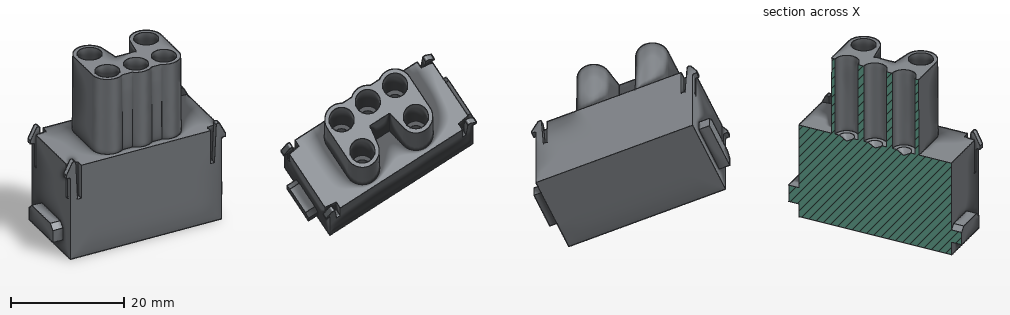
import cadquery as cq
import math

BODY_WIDTH = 14.6
BODY_LENGTH = 30.15
BODY_HEIGHT = 18.7
TOTAL_LENGTH = 34.2
TOTAL_HEIGHT = 34.0

TAB_BOTTOM = 2.55
TAB_TOP = 6.0
TAB_CHAMFER = 1.0
FRONT_TAB_WIDTH = 9.03
BACK_TAB_WIDTH = 7.0

POCKET_FLOOR = 11.97
POCKET_INNER_Y = 12.9
POCKET_X_AT_END = 5.7
POCKET_X_AT_INNER = 6.02
LATCH_WIDTH = 1.0
LATCH_ROOT_INNER_Y = 13.65
LATCH_TIP_INNER_Y = 14.02
LATCH_TIP_OUTER_Y = 14.75
LATCH_SHOULDER = 19.63
LATCH_TOP = 19.87
BARB_Y = 15.87
BARB_BOTTOM = 16.72
BARB_TOP = 17.4
BARB_FILLET = 0.35

CONTACT_X = 3.35
CONTACT_Y = 5.65
MIDDLE_CONTACT_X = 3.52
LOBE_RADIUS = 3.08
TOWER_SIDE_X = 5.88
NOTCH_X = -0.4
NOTCH_HALF_WIDTH = 2.0
TOWER_DRAFT = 0.4
BORE_DIAMETER = 4.4
PIT_DIAMETER = 2.8
PIT_POINT_ANGLE = 118.0

HALF_WIDTH = BODY_WIDTH / 2
HALF_LENGTH = BODY_LENGTH / 2
TOWER_HEIGHT = TOTAL_HEIGHT - BODY_HEIGHT


def make_body():
    return cq.Workplane("XY").box(BODY_WIDTH, BODY_LENGTH, BODY_HEIGHT, centered=(True, True, False))


def make_tab(width, end):
    """Tab with chamfered upper corners; end is -1 for the -Y face and +1 for the +Y face."""
    half = width / 2
    outline = [
        (-half, TAB_BOTTOM),
        (half, TAB_BOTTOM),
        (half, TAB_TOP - TAB_CHAMFER),
        (half - TAB_CHAMFER, TAB_TOP),
        (TAB_CHAMFER - half, TAB_TOP),
        (-half, TAB_TOP - TAB_CHAMFER),
    ]
    return cq.Workplane("XZ").polyline(outline).close().extrude(-end * TOTAL_LENGTH / 2)


def make_pocket():
    """Open pocket at the +X +Y corner, with a slanted wall on the body side."""
    outline = [
        (HALF_WIDTH, POCKET_INNER_Y),
        (HALF_WIDTH, HALF_LENGTH),
        (POCKET_X_AT_END, HALF_LENGTH),
        (POCKET_X_AT_INNER, POCKET_INNER_Y),
    ]
    pocket = cq.Workplane("XY").workplane(offset=POCKET_FLOOR).polyline(outline).close()
    return pocket.extrude(BODY_HEIGHT - POCKET_FLOOR)


def make_latch():
    """Barbed snap finger at the +X +Y corner, standing on the pocket floor."""
    tip_middle_y = (LATCH_TIP_INNER_Y + LATCH_TIP_OUTER_Y) / 2
    profile = (
        cq.Workplane("YZ")
        .workplane(offset=HALF_WIDTH - LATCH_WIDTH)
        .moveTo(LATCH_ROOT_INNER_Y, POCKET_FLOOR)
        .lineTo(HALF_LENGTH, POCKET_FLOOR)
        .lineTo(HALF_LENGTH, BARB_BOTTOM - BARB_FILLET)
        .radiusArc((HALF_LENGTH + BARB_FILLET, BARB_BOTTOM), BARB_FILLET)
        .lineTo(BARB_Y, BARB_BOTTOM)
        .lineTo(BARB_Y, BARB_TOP)
        .lineTo(LATCH_TIP_OUTER_Y, LATCH_SHOULDER)
        .threePointArc((tip_middle_y, LATCH_TOP), (LATCH_TIP_INNER_Y, LATCH_SHOULDER))
        .close()
    )
    return profile.extrude(LATCH_WIDTH)


def four_corners(shape):
    """The +X +Y corner shape together with its three mirror images."""
    pair = shape.union(shape.mirror("YZ"))
    return pair.union(pair.mirror("XZ"))


def circle_point(center, angle):
    return (center[0] + LOBE_RADIUS * math.cos(angle), center[1] + LOBE_RADIUS * math.sin(angle))


def flip(point):
    return (point[0], -point[1])


def make_tower():
    """Drafted tower with rounded lobes around the holes and a notch on the -X side."""
    left = (-CONTACT_X, CONTACT_Y)
    right = (CONTACT_X, CONTACT_Y)
    middle = (MIDDLE_CONTACT_X, 0)
    top_y = CONTACT_Y + LOBE_RADIUS

    notch_corner = (NOTCH_X, NOTCH_HALF_WIDTH)
    dx = notch_corner[0] - left[0]
    dy = notch_corner[1] - left[1]
    flank_angle = math.atan2(dy, dx) - math.acos(LOBE_RADIUS / math.hypot(dx, dy))
    flank_end = circle_point(left, flank_angle)

    right_angle = -math.acos((TOWER_SIDE_X - CONTACT_X) / LOBE_RADIUS)
    right_end = circle_point(right, right_angle)
    middle_angle = math.acos((TOWER_SIDE_X - MIDDLE_CONTACT_X) / LOBE_RADIUS)
    middle_end = circle_point(middle, middle_angle)

    left_outer = circle_point(left, math.pi)
    right_outer = circle_point(right, (math.pi / 2 + right_angle) / 2)

    outline = (
        cq.Workplane("XY")
        .workplane(offset=BODY_HEIGHT)
        .moveTo(*flip(notch_corner))
        .lineTo(*notch_corner)
        .lineTo(*flank_end)
        .threePointArc(left_outer, (-CONTACT_X, top_y))
        .lineTo(CONTACT_X, top_y)
        .threePointArc(right_outer, right_end)
        .lineTo(*middle_end)
        .threePointArc(circle_point(middle, 0), flip(middle_end))
        .lineTo(*flip(right_end))
        .threePointArc(flip(right_outer), (CONTACT_X, -top_y))
        .lineTo(-CONTACT_X, -top_y)
        .threePointArc(flip(left_outer), flip(flank_end))
        .close()
    )
    return outline.extrude(TOWER_HEIGHT, taper=TOWER_DRAFT)


def make_contact_hole():
    """Bore through the height of the tower, ending in a flat step around a conical pit."""
    pit_radius = PIT_DIAMETER / 2
    pit_depth = pit_radius / math.tan(math.radians(PIT_POINT_ANGLE / 2))
    bore = cq.Workplane("XY").workplane(offset=BODY_HEIGHT).circle(BORE_DIAMETER / 2).extrude(TOWER_HEIGHT)
    pit_apex = cq.Vector(0, 0, BODY_HEIGHT - pit_depth)
    pit = cq.Solid.makeCone(0, pit_radius, pit_depth, pnt=pit_apex)
    return bore.union(cq.Workplane(obj=pit))


contact_places = [(MIDDLE_CONTACT_X, 0)]
for side in (-1, 1):
    for end in (-1, 1):
        contact_places.append((side * CONTACT_X, end * CONTACT_Y))

result = make_body().cut(four_corners(make_pocket()))
result = result.union(make_tab(FRONT_TAB_WIDTH, -1)).union(make_tab(BACK_TAB_WIDTH, 1))
result = result.union(four_corners(make_latch())).union(make_tower())

contact_hole = make_contact_hole()
for x, y in contact_places:
    result = result.cut(contact_hole.translate((x, y, 0)))